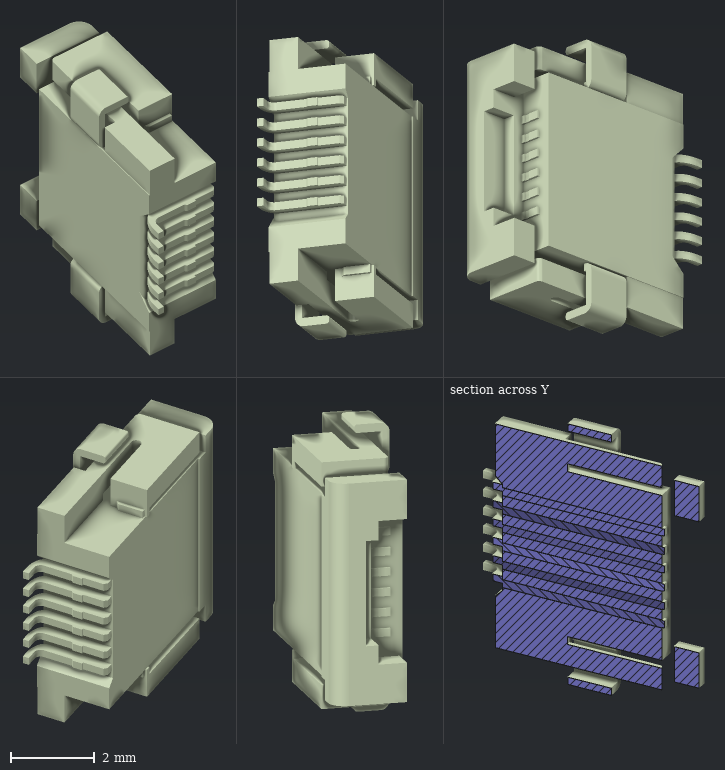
import cadquery as cq
import math


body_front = 1.0
body_rear = 5.52
body_bottom = 0.1
body_top = 2.06
body_half_width = 2.25

bar_depth = 0.68
bar_bottom = 0.26
bar_top = 2.1
bar_half_width = 2.75
bar_round = 0.4
mouth_half_width = 1.775
mouth_top = 0.96
slot_half_width = 1.3
slot_top = 1.28

wing_half_width = 3.05
arm_gap = 0.2
arm_inner = body_half_width + arm_gap
arm_bottom = 0.43
arm_round = 0.12
wing_step = 0.02
wing_bottom = body_bottom + wing_step
wing_block_front = 3.67
wing_block_top = 0.85
arm_slot_front = 1.98
arm_slot_height = 0.26
arm_slot_top = wing_block_top + arm_slot_height

catch_bottom = 1.28
catch_top = 2.03
catch_chamfer = 0.09
catch_rear = wing_block_front + catch_chamfer

clip_front = 2.37
clip_rear = 3.55
clip_half_width = 3.55
clip_bottom = 0.04
clip_plate_thickness = 0.18
clip_leg_thickness = 0.21
clip_tip = 0.91
clip_tip_round = 0.07
clip_bend = 0.22
clip_foot_top = 0.29

notch_lip_front = 5.13
notch_lip_radius = 0.2
notch_wall = notch_lip_front + notch_lip_radius
notch_half_width = 1.26
notch_mouth_half_width = 1.63

contact_count = 6
contact_pitch = 0.5
contact_thickness = 0.2
leg_offset = 0.1
finger_length = 0.065
finger_bottom = 0.41
finger_top = mouth_top
finger_notch_bottom = 0.7
finger_notch_top = 0.85
finger_notch_depth = 0.02
leg_rear = 5.59
leg_top = 2.02
leg_chamfer = 0.08
bump_height = 0.05
bump_bottom = 1.09
bump_top = 1.39
foot_end = 6.04
foot_thickness = 0.16
foot_flat_start = 5.85
foot_bend = 0.17
heel_length = 0.15
heel_bottom = 0.09
heel_top = 0.26

overcut = 0.5

arc_mid = 1 - math.sqrt(0.5)


def block(x_range, y_range, z_range):
    """Box spanning the given (low, high) ranges."""
    size = [high - low for low, high in (x_range, y_range, z_range)]
    corner = (x_range[0], y_range[0], z_range[0])
    return cq.Workplane("XY").box(*size, centered=False).translate(corner)


def centred_block(x_range, y_range, half_width):
    """Box that straddles the Z = 0 plane."""
    return block(x_range, y_range, (-half_width, half_width))


def make_front_bar():
    bar = centred_block((0, bar_depth), (bar_bottom, bar_top), bar_half_width)
    bar = bar.edges("<X and >Y").fillet(bar_round)
    bar = bar.cut(centred_block((0, bar_depth), (bar_bottom, mouth_top), mouth_half_width))
    bar = bar.cut(centred_block((0, bar_depth), (mouth_top, slot_top), slot_half_width))
    web = centred_block((bar_depth, body_front), (mouth_top, bar_top), body_half_width)
    return bar.union(web)


def make_rear_notch():
    """Cutting tool: a flared notch minus the rounded lip left inside it."""
    flare = (notch_mouth_half_width - notch_half_width) / (body_rear - notch_lip_front)
    outer_x = body_rear + overcut
    outer_half_width = notch_mouth_half_width + flare * overcut
    notch = (
        cq.Workplane("XZ")
        .polyline([
            (notch_lip_front, -notch_half_width),
            (outer_x, -outer_half_width),
            (outer_x, outer_half_width),
            (notch_lip_front, notch_half_width),
        ])
        .close()
        .extrude(-(body_top + overcut))
    )
    lip = centred_block(
        (body_front, notch_wall), (body_bottom, body_top + overcut), body_half_width
    )
    lip = lip.edges(">X and <Y").fillet(notch_lip_radius)
    return notch.cut(lip)


def make_main_body():
    body = centred_block(
        (body_front, body_rear), (body_bottom, body_top), body_half_width
    )
    return body.cut(make_rear_notch())


def make_wing():
    """Wing on the +Z side."""
    z_range = (body_half_width, wing_half_width)
    arm = block((body_front, wing_block_front), (arm_bottom, bar_top), z_range)
    arm = arm.edges("<X and <Y").fillet(arm_round)
    arm = arm.cut(block((body_front, clip_rear), (0, bar_top), (body_half_width, arm_inner)))

    slot_radius = arm_slot_height / 2
    slot_middle = wing_block_top + slot_radius
    slot_straight_start = arm_slot_front + slot_radius
    slot = block((slot_straight_start, wing_block_front), (wing_block_top, arm_slot_top), z_range)
    slot_end = (
        cq.Workplane("XY", origin=(slot_straight_start, slot_middle, body_half_width))
        .circle(slot_radius)
        .extrude(wing_half_width - body_half_width)
    )
    arm = arm.cut(slot).cut(slot_end)

    rear_block = block(
        (wing_block_front, body_rear), (wing_bottom, wing_block_top), z_range
    )
    catch = block((clip_rear, catch_rear), (catch_bottom, catch_top), (body_half_width, arm_inner))
    catch = catch.edges(">X and <Y").chamfer(catch_chamfer)
    return arm.union(rear_block).union(catch)


def make_clip():
    """Bent clip on the +Z side: a foot against the body, a plate and an outer leg."""
    plate_top = clip_bottom + clip_plate_thickness
    leg_inner = clip_half_width - clip_leg_thickness
    clip = (
        cq.Workplane("YZ", origin=(clip_front, 0, 0))
        .moveTo(clip_foot_top, body_half_width)
        .lineTo(clip_bottom + clip_bend, body_half_width)
        .threePointArc(
            (clip_bottom + arc_mid * clip_bend, body_half_width + arc_mid * clip_bend),
            (clip_bottom, body_half_width + clip_bend),
        )
        .lineTo(clip_bottom, clip_half_width - clip_bend)
        .threePointArc(
            (clip_bottom + arc_mid * clip_bend, clip_half_width - arc_mid * clip_bend),
            (clip_bottom + clip_bend, clip_half_width),
        )
        .lineTo(clip_tip, clip_half_width)
        .lineTo(clip_tip, leg_inner)
        .lineTo(plate_top, leg_inner)
        .lineTo(plate_top, arm_inner)
        .lineTo(clip_foot_top, arm_inner)
        .close()
        .extrude(clip_rear - clip_front)
    )
    return clip.edges("|X and >Y").fillet(clip_tip_round)


def make_contact():
    """Contact whose front finger is centred on Z = 0."""
    finger_tip = body_front - finger_length
    finger_notch = finger_tip + finger_notch_depth
    shank = (
        cq.Workplane("XY", origin=(0, 0, -contact_thickness / 2))
        .polyline([
            (finger_tip, finger_bottom),
            (notch_wall, finger_bottom),
            (notch_wall, finger_top),
            (finger_tip, finger_top),
            (finger_tip, finger_notch_top),
            (finger_notch, finger_notch_top),
            (finger_notch, finger_notch_bottom),
            (finger_tip, finger_notch_bottom),
        ])
        .close()
        .extrude(contact_thickness)
    )

    bump_rear = leg_rear + bump_height
    bend_top = foot_thickness + foot_bend
    leg = (
        cq.Workplane("XY", origin=(0, 0, leg_offset - contact_thickness / 2))
        .moveTo(notch_wall, leg_top)
        .lineTo(leg_rear - leg_chamfer, leg_top)
        .lineTo(leg_rear, leg_top - leg_chamfer)
        .lineTo(leg_rear, bump_top)
        .lineTo(bump_rear, bump_top)
        .lineTo(bump_rear, bump_bottom + bump_height)
        .lineTo(leg_rear, bump_bottom)
        .lineTo(leg_rear, bend_top)
        .threePointArc(
            (leg_rear + arc_mid * foot_bend, foot_thickness + arc_mid * foot_bend),
            (leg_rear + foot_bend, foot_thickness),
        )
        .lineTo(foot_end, foot_thickness)
        .lineTo(foot_end, 0)
        .lineTo(foot_flat_start, 0)
        .tangentArcPoint((notch_wall + heel_length, heel_bottom), relative=False)
        .tangentArcPoint((notch_wall, heel_top), relative=False)
        .close()
        .extrude(contact_thickness)
    )
    return shank.union(leg)


first_contact_z = -contact_pitch * (contact_count - 1) / 2
contacts = []
for index in range(contact_count):
    contact_z = first_contact_z + index * contact_pitch
    contacts.append(make_contact().translate((0, 0, contact_z)))

housing = make_main_body().union(make_front_bar())
for side_part in (make_wing(), make_clip()):
    housing = housing.union(side_part).union(side_part.mirror("XY"))
for contact in contacts:
    housing = housing.cut(contact)

result = cq.Compound.makeCompound(
    [housing.solids().val()] + [contact.solids().val() for contact in contacts]
)